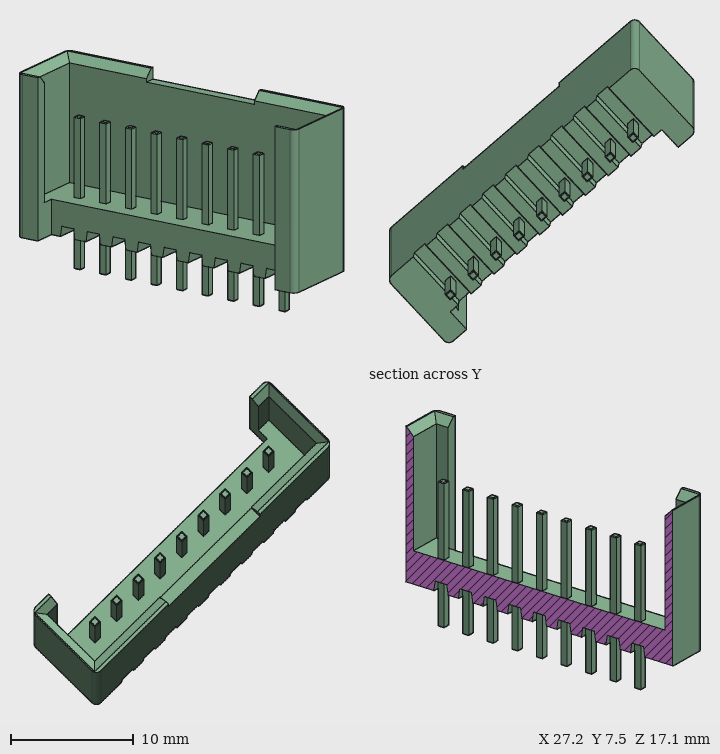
import cadquery as cq

LENGTH = 27.2
DEPTH = 7.5
HEIGHT = 14.0
CORNER_RADIUS = 0.52
SIDE_WALL = 0.82
LONG_WALL = 1.0
FLOOR_HEIGHT = 3.05
LEAD_IN = 0.7

POST_WIDTH = 2.0
FRONT_SETBACK = 2.0
BACK_NOTCH_WIDTH = 10.55
BACK_NOTCH_DEPTH = 1.0

PIN_COUNT = 9
PIN_PITCH = 2.5
PIN_WIDTH = 0.63
PIN_TOP = 9.98
PIN_BELOW = 3.1
PIN_CHAMFER = 0.08
GROOVE_DEPTH = 0.9
GROOVE_TOP_WIDTH = 1.15
GROOVE_MOUTH_WIDTH = 1.41

PIN_POSITIONS = [(i - (PIN_COUNT - 1) / 2) * PIN_PITCH for i in range(PIN_COUNT)]


def make_shell():
    """Rounded block hollowed from above, with a bevelled mouth."""
    block = cq.Workplane("XY").box(LENGTH, DEPTH, HEIGHT, centered=(True, True, False))
    block = block.edges("|Z").fillet(CORNER_RADIUS)
    cavity_length = LENGTH - 2 * SIDE_WALL
    cavity_depth = DEPTH - 2 * LONG_WALL
    cavity = (
        cq.Workplane("XY", origin=(0, 0, FLOOR_HEIGHT))
        .rect(cavity_length, cavity_depth)
        .extrude(HEIGHT - FLOOR_HEIGHT)
    )
    mouth = (
        cq.Workplane("XY", origin=(0, 0, HEIGHT - LEAD_IN))
        .rect(cavity_length, cavity_depth)
        .workplane(offset=LEAD_IN)
        .rect(cavity_length + 2 * LEAD_IN, cavity_depth + 2 * LEAD_IN)
        .loft()
    )
    return block.cut(cavity).cut(mouth)


def make_front_opening():
    """Full-height gap that leaves one post at each end of the front."""
    return cq.Workplane("XY", origin=(0, -DEPTH / 2, 0)).box(
        LENGTH - 2 * POST_WIDTH, 2 * FRONT_SETBACK, HEIGHT, centered=(True, True, False)
    )


def make_back_notch():
    """Shallow notch in the top edge of the back wall."""
    return cq.Workplane("XY", origin=(0, DEPTH / 2, HEIGHT)).box(
        BACK_NOTCH_WIDTH, 2 * LONG_WALL, 2 * BACK_NOTCH_DEPTH
    )


def make_groove(x):
    """Tapered groove running front to back across the underside."""
    half_mouth = GROOVE_MOUTH_WIDTH / 2
    half_top = GROOVE_TOP_WIDTH / 2
    return (
        cq.Workplane("XZ", origin=(x, 0, 0))
        .polyline([
            (-half_mouth, 0),
            (half_mouth, 0),
            (half_top, GROOVE_DEPTH),
            (-half_top, GROOVE_DEPTH),
        ])
        .close()
        .extrude(DEPTH / 2, both=True)
    )


def make_pin(x):
    """Square pin through the floor, chamfered at both ends."""
    return (
        cq.Workplane("XY", origin=(x, 0, -PIN_BELOW))
        .rect(PIN_WIDTH, PIN_WIDTH)
        .extrude(PIN_BELOW + PIN_TOP)
        .faces("<Z or >Z")
        .chamfer(PIN_CHAMFER)
    )


result = make_shell().cut(make_front_opening()).cut(make_back_notch())
for pin_x in PIN_POSITIONS:
    result = result.cut(make_groove(pin_x))
for pin_x in PIN_POSITIONS:
    result = result.union(make_pin(pin_x))